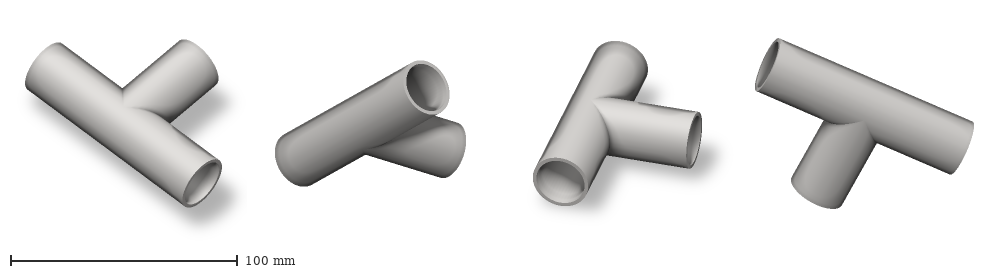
import cadquery as cq

run_length = 95.25
outer_diameter = 25.4
inner_diameter = 22.1
branch_length = run_length / 2


def tee_of_cylinders(diameter):
    """Solid tee: a run along X joined to a branch reaching out along +Y."""
    radius = diameter / 2
    run = cq.Workplane("YZ").circle(radius).extrude(run_length / 2, both=True)
    branch = cq.Workplane("XZ").circle(radius).extrude(-branch_length)
    return run.union(branch)


result = tee_of_cylinders(outer_diameter).cut(tee_of_cylinders(inner_diameter))